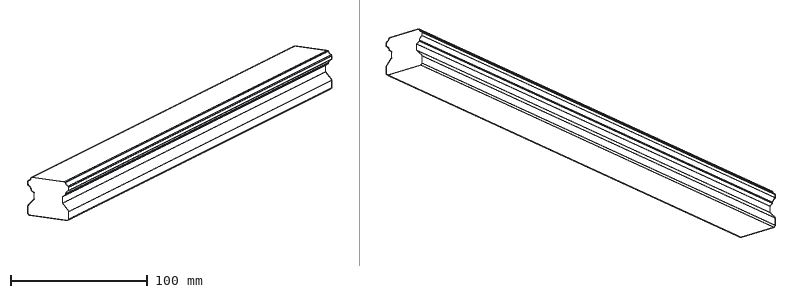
import cadquery as cq
import math

LENGTH = 410.0
WIDTH = 34.0
HEIGHT = 29.0

TOP_WIDTH = 26.5
LAND_WIDTH = 28.5
TOP_CHAMFER_DROP = 0.5
TIP_CHAMFER_WIDTH = 0.5
UPPER_GROOVE_DROP = 3.0
SIDE_TOP_DROP = 3.5
SIDE_BOTTOM_DROP = 6.0
LOWER_GROOVE_DROP = 9.0
LAND_BOTTOM_DROP = 10.0
GROOVE_DEPTH = 0.5

NECK_WIDTH = 23.8
NECK_TOP_DROP = 11.5

FLARE_TOP_HEIGHT = 12.7
FLARE_BOTTOM_HEIGHT = 7.8
FOOT_SIDE_HEIGHT = 7.0
FOOT_CHAMFER_WIDTH = 0.5
BASE_CHAMFER = 1.2


def groove_midpoint(start, end):
    """Middle of the concave arc running outline-clockwise from start to end."""
    chord = math.dist(start, end)
    inward_x = (end[1] - start[1]) / chord
    inward_z = (start[0] - end[0]) / chord
    middle_x = (start[0] + end[0]) / 2
    middle_z = (start[1] + end[1]) / 2
    return (middle_x + GROOVE_DEPTH * inward_x, middle_z + GROOVE_DEPTH * inward_z)


side = WIDTH / 2
land = LAND_WIDTH / 2
neck = NECK_WIDTH / 2

top_edge = (TOP_WIDTH / 2, HEIGHT)
upper_groove_start = (land, HEIGHT - TOP_CHAMFER_DROP)
upper_groove_end = (side - TIP_CHAMFER_WIDTH, HEIGHT - UPPER_GROOVE_DROP)
side_top = (side, HEIGHT - SIDE_TOP_DROP)
lower_groove_start = (side, HEIGHT - SIDE_BOTTOM_DROP)
lower_groove_end = (land, HEIGHT - LOWER_GROOVE_DROP)
land_bottom = (land, HEIGHT - LAND_BOTTOM_DROP)
neck_top = (neck, HEIGHT - NECK_TOP_DROP)
neck_bottom = (neck, FLARE_TOP_HEIGHT)
flare_bottom = (side - FOOT_CHAMFER_WIDTH, FLARE_BOTTOM_HEIGHT)
foot_side_top = (side, FOOT_SIDE_HEIGHT)
base_chamfer_top = (side, BASE_CHAMFER)
base_chamfer_bottom = (side - BASE_CHAMFER, 0)

half_rail = (
    cq.Workplane("XZ", origin=(0, LENGTH / 2, 0))
    .moveTo(0, HEIGHT)
    .lineTo(*top_edge)
    .lineTo(*upper_groove_start)
    .threePointArc(groove_midpoint(upper_groove_start, upper_groove_end), upper_groove_end)
    .lineTo(*side_top)
    .lineTo(*lower_groove_start)
    .threePointArc(groove_midpoint(lower_groove_start, lower_groove_end), lower_groove_end)
    .lineTo(*land_bottom)
    .lineTo(*neck_top)
    .lineTo(*neck_bottom)
    .lineTo(*flare_bottom)
    .lineTo(*foot_side_top)
    .lineTo(*base_chamfer_top)
    .lineTo(*base_chamfer_bottom)
    .lineTo(0, 0)
    .close()
    .extrude(LENGTH)
)

result = half_rail.union(half_rail.mirror("YZ")).clean()